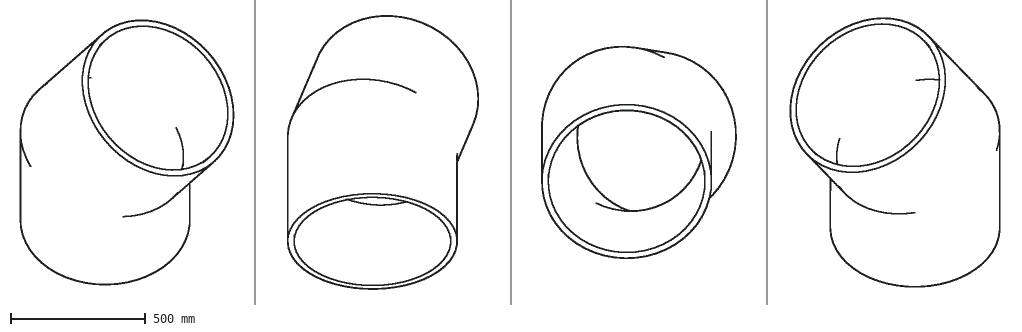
import cadquery as cq
import math

outer_diameter = 630.0
inner_diameter = 581.8
bend_angle = 30.0
inside_leg_length = 350.0

outer_radius = outer_diameter / 2
mitre_angle = bend_angle / 2
mitre_rise = outer_radius * math.tan(math.radians(mitre_angle))
axis_leg_length = inside_leg_length + mitre_rise
outside_leg_length = axis_leg_length + mitre_rise

mitre_centre = (0, 0, axis_leg_length)
mitre_normal = cq.Vector(
    math.sin(math.radians(mitre_angle)),
    0,
    math.cos(math.radians(mitre_angle)),
)


def straight_pipe():
    """Vertical pipe standing on Z = 0, as tall as the longest side of a leg."""
    return (
        cq.Workplane("XY")
        .circle(outer_radius)
        .circle(inner_diameter / 2)
        .extrude(outside_leg_length)
    )


def space_above_mitre():
    """Block resting on the mitre plane, large enough to trim the whole pipe."""
    block_width = 2 * outer_diameter
    mitre_plane = cq.Plane(origin=mitre_centre, xDir=(0, 1, 0), normal=mitre_normal.toTuple())
    return cq.Workplane(mitre_plane).rect(block_width, block_width).extrude(outer_diameter)


lower_leg = straight_pipe().cut(space_above_mitre())
upper_leg = lower_leg.mirror(mitre_normal, mitre_centre)

result = lower_leg.union(upper_leg)